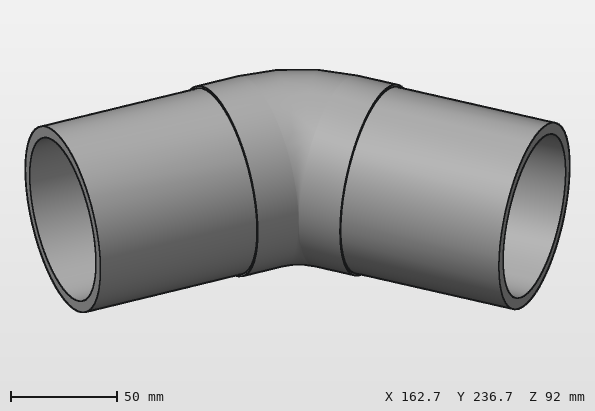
import cadquery as cq
import math

bend_angle = 45.0
pipe_diameter = 90.0
collar_diameter = 92.0
bore_diameter = 79.0
bend_clearance = 0.12
collar_length = 20.8
overall_length = 236.7

bend_radius = collar_diameter / 2 + bend_clearance
bore_bend_radius = bore_diameter / 2 + bend_clearance

bend_sine = math.sin(math.radians(bend_angle))
bend_cosine = math.cos(math.radians(bend_angle))
bend_and_rim_length = (bend_radius + pipe_diameter / 2) * bend_sine
leg_length = (overall_length - bend_and_rim_length) / (1 + bend_cosine)

corner_to_bend = bend_radius * math.tan(math.radians(bend_angle / 2))
corner_to_bore_bend = bore_bend_radius * math.tan(math.radians(bend_angle / 2))
corner_to_mouth = corner_to_bend + leg_length


def axis_direction(angle):
    """Unit vector from the corner, at an angle turned from +Y toward +X."""
    turn = math.radians(angle)
    return cq.Vector(math.sin(turn), math.cos(turn), 0)


leg_directions = (axis_direction(180), axis_direction(bend_angle))


def rod(diameter, direction, start, end):
    """Cylinder on a pipe axis between two distances from the corner."""
    solid = cq.Solid.makeCylinder(diameter / 2, end - start, direction * start, direction)
    return cq.Workplane("XY").newObject([solid])


def curved_rod(diameter, radius, corner_distance):
    """Torus sector joining both pipe axes, tangent to each of them."""
    return (
        cq.Workplane("XZ", origin=(0, -corner_distance, 0))
        .circle(diameter / 2)
        .revolve(bend_angle, (radius, 2.4, 0), (radius, -2.4, 0))
    )


body = curved_rod(collar_diameter, bend_radius, corner_to_bend)
for leg in leg_directions:
    body = body.union(rod(collar_diameter, leg, corner_to_bend, corner_to_bend + collar_length))
    body = body.union(rod(pipe_diameter, leg, corner_to_bend, corner_to_mouth))

result = body.cut(curved_rod(bore_diameter, bore_bend_radius, corner_to_bore_bend))
for leg in leg_directions:
    result = result.cut(rod(bore_diameter, leg, corner_to_bore_bend, corner_to_mouth))